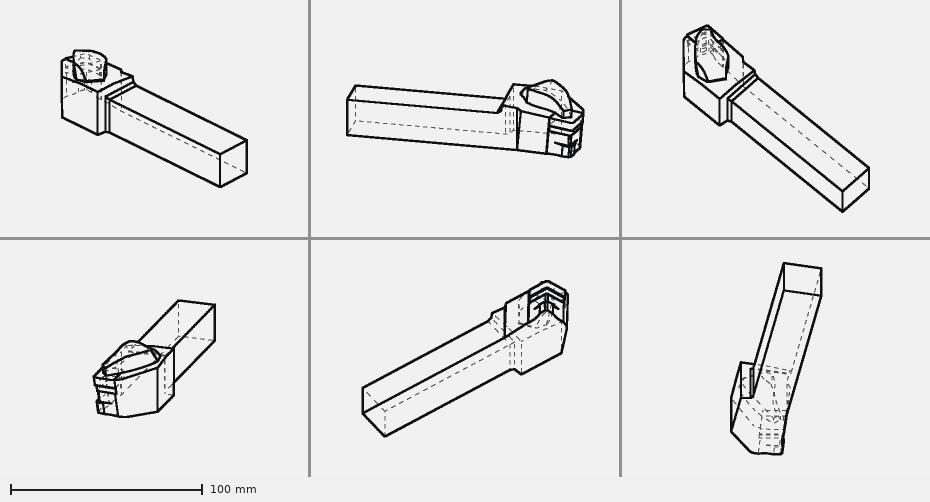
import cadquery as cq
import math

total_length = 125
shank_size = 20
shank_y = 6.0
shank_start_x = 44.8
shank_back_y = shank_y + shank_size

head_height = 26.0
head_back_x = 41.9
blend_x = 42.6
blend_y = 5.0
blend_z = 21.4
shoulder_start_x = 31.2
shoulder_start_y = 28.5
shoulder_end_x = 34.0
front_bevel = 16.1
corner_x = 0.4
corner_radius = 4.6

tilt_angle = 8.2
ridge_x = 29.8

nose_x = 2.9
nose_y = 31.4
insert_side = 12.9
insert_thickness = 4.8
insert_radius = 0.8
back_edge_angle = -5
left_edge_angle = 255
nose_chamfer = 0.9
nose_angle = left_edge_angle - back_edge_angle - 180
shim_thickness = 3.4
shim_inset = 0.6
wall_inset = 0.8
wall_shortening = 1.5
wall_step = 0.8
seat_step_x = 15.8
seat_step_y = 29.9

foot_drop = 14.2
foot_offset = 1.1
foot_flat = 4.5
foot_run_out = 9.9
hollow_depth = 0.06

nose_ruling_angle = 40
rear_ruling_angle = 55.8

tip_left = (5.0, 25.0)
flank_start = (8.5, 17.9)
flank_middle = (11.5, 13.5)
flank_end = (21.8, 3.6)
heel_start = (25.5, 1.9)
heel_middle = (28.0, 2.2)
heel_end = (30.2, 3.5)
rear_corner = (35.5, 11.2)
rear_cut_middle = (33.1, 14.0)
rear_cut_end = (30.5, 18.5)
bulge_middle = (27.4, 20.0)
bulge_end = (20.6, 21.6)
neck_middle = (16.5, 22.8)
neck_end = (13.0, 24.8)
tip_right = (8.8, 27.9)

clamp_top = 32.4
clamp_rise = 0.11
clamp_nose_slope = 0.27
rear_crest = 10.9
rear_curve_end = 19.0
rear_end = 23.0
rear_curve_end_z = 30.0
rear_end_z = 26.2
nose_tip = -15.9
nose_curve_start = -11.8
nose_curve_end = -3.9
nose_tip_z = 25.2
nose_curve_start_z = 27.9
nose_curve_end_z = 31.5
facet_point = (20.0, 5.1, 32.5)
facet_run = 0.4
facet_turn = 5

margin = 75


def tilt(body):
    """Tip a body that stands on the flat top about the 45 degree ridge."""
    return body.rotate((ridge_x, 0, head_height), (ridge_x + 1.2, 1.2, head_height), -tilt_angle)


def along(start, angle, distance):
    """Point at a distance from start in a direction given in degrees."""
    a = math.radians(angle)
    return (start[0] + distance * math.cos(a), start[1] + distance * math.sin(a))


def rhombus(inset):
    """Insert corners, with the two free edges moved inward by an inset."""
    nose_shift = inset / math.sin(math.radians(nose_angle))
    nose = along((nose_x, nose_y), back_edge_angle, nose_shift)
    nose = along(nose, left_edge_angle, nose_shift)
    back_end = along(nose, back_edge_angle, insert_side - nose_shift)
    left_end = along(nose, left_edge_angle, insert_side - nose_shift)
    return nose, back_end, left_end


def hollow_middle(start, end):
    """Middle of a shallow arc that curves in toward the holder between two points."""
    chord = math.dist(start, end)
    angle = math.degrees(math.atan2(end[1] - start[1], end[0] - start[0]))
    return along(along(start, angle, chord / 2), angle - 90, chord * hollow_depth)


def ruled_plane(ruling_angle):
    """Upright plane square to a horizontal direction, with the part's Z as its local y."""
    a = math.radians(ruling_angle)
    across = (math.sin(a), -math.cos(a), 0)
    normal = (-math.cos(a), -math.sin(a), 0)
    return cq.Workplane(cq.Plane((0, 0, 0), across, normal))


def plate(inset, drop, thickness):
    """Rounded rhombic plate on the tilted seat, its top a drop below the head's top."""
    nose, back_end, left_end = rhombus(inset)
    inner = along(rhombus(0)[1], left_edge_angle, insert_side)
    blank = (
        cq.Workplane("XY", origin=(0, 0, head_height - drop))
        .polyline([nose, back_end, inner, left_end])
        .close()
        .extrude(-thickness)
        .edges("|Z")
        .fillet(insert_radius)
    )
    return tilt(blank)


def vertical_head():
    """Plan outline crossed with the side profile that blends into the shank."""
    plan = (
        cq.Workplane("XY")
        .moveTo(-margin, 0)
        .lineTo(head_back_x, 0)
        .lineTo(blend_x, blend_y)
        .lineTo(shank_start_x, shank_y)
        .lineTo(shank_start_x, shank_back_y)
        .lineTo(shoulder_end_x, shank_back_y)
        .lineTo(shoulder_start_x, shoulder_start_y)
        .lineTo(shoulder_start_x, margin)
        .lineTo(-margin, margin)
        .close()
        .extrude(head_height)
    )
    profile = (
        cq.Workplane("XZ")
        .moveTo(-margin, 0)
        .lineTo(shank_start_x, 0)
        .lineTo(shank_start_x, shank_size)
        .lineTo(blend_x, blend_z)
        .lineTo(head_back_x, head_height)
        .lineTo(-margin, head_height)
        .close()
        .extrude(margin, both=True)
    )
    return plan.intersect(profile)


def tilted_block():
    """Block whose left and back walls stand square to the tilted seat."""
    nose, back_end, left_end = rhombus(wall_inset)
    wall_end = along(left_end, left_edge_angle, -wall_shortening)
    back_slope = (shoulder_start_y - seat_step_y) / (shoulder_start_x - seat_step_x)
    bevel_corner_y = front_bevel - corner_x
    round_length = corner_radius * math.tan(math.radians(45 / 2))
    round_start = (corner_x, bevel_corner_y + round_length)
    round_end = along((corner_x, bevel_corner_y), -45, round_length)
    block = (
        cq.Workplane("XY", origin=(0, 0, head_height))
        .moveTo(*along(nose, left_edge_angle, nose_chamfer))
        .lineTo(*along(nose, back_edge_angle, nose_chamfer))
        .lineTo(*back_end)
        .lineTo(seat_step_x, seat_step_y)
        .lineTo(margin, seat_step_y + back_slope * (margin - seat_step_x))
        .lineTo(margin, front_bevel - margin)
        .lineTo(*round_end)
        .tangentArcPoint(round_start, relative=False)
        .lineTo(corner_x, wall_end[1] - wall_step)
        .lineTo(*wall_end)
        .close()
        .extrude(-margin)
    )
    return tilt(block)


def foot():
    """Foot below the nose, running out into the seat walls in hollow curves."""
    nose = rhombus(wall_inset)[0]
    nose_shift = foot_offset / math.sin(math.radians(nose_angle))
    tip = along(along(nose, back_edge_angle, -nose_shift), left_edge_angle, -nose_shift)
    left_flat = along(tip, left_edge_angle, foot_flat)
    back_flat = along(tip, back_edge_angle, foot_flat)
    left_run_out = along(nose, left_edge_angle, foot_run_out)
    back_run_out = along(nose, back_edge_angle, foot_run_out)
    root = along(nose, (back_edge_angle + left_edge_angle) / 2 + 180, foot_flat)
    outline = (
        cq.Workplane("XY", origin=(0, 0, head_height - foot_drop))
        .moveTo(*along(tip, left_edge_angle, nose_chamfer))
        .lineTo(*along(tip, back_edge_angle, nose_chamfer))
        .lineTo(*back_flat)
        .threePointArc(hollow_middle(back_flat, back_run_out), back_run_out)
        .lineTo(*root)
        .lineTo(*left_run_out)
        .threePointArc(hollow_middle(left_run_out, left_flat), left_flat)
        .close()
        .extrude(-margin)
    )
    above_bottom = cq.Workplane("XY").rect(2 * margin, 2 * margin).extrude(margin)
    return tilt(outline).intersect(above_bottom)


def clamp_outline():
    """Clamp footprint, drawn out square to the tilted plane."""
    footprint = (
        cq.Workplane("XY", origin=(0, 0, head_height))
        .moveTo(*tip_left)
        .lineTo(*flank_start)
        .threePointArc(flank_middle, flank_end)
        .lineTo(*heel_start)
        .threePointArc(heel_middle, heel_end)
        .lineTo(*rear_corner)
        .lineTo(*rear_cut_middle)
        .lineTo(*rear_cut_end)
        .threePointArc(bulge_middle, bulge_end)
        .threePointArc(neck_middle, neck_end)
        .lineTo(*tip_right)
        .close()
        .extrude(margin)
    )
    return tilt(footprint)


def clamp_nose():
    """Everything under the ruled surface that climbs from the clamp's tip."""
    return (
        ruled_plane(nose_ruling_angle)
        .moveTo(nose_tip, 0)
        .lineTo(nose_tip, nose_tip_z)
        .lineTo(nose_curve_start, nose_curve_start_z)
        .tangentArcPoint((nose_curve_end, nose_curve_end_z), relative=False)
        .lineTo(margin, nose_curve_end_z + clamp_nose_slope * (margin - nose_curve_end))
        .lineTo(margin, 0)
        .close()
        .extrude(margin, both=True)
    )


def clamp_rear():
    """Everything under the flat upper face, the rear curve and the rear slope."""
    rear_slope = (rear_curve_end_z - rear_end_z) / (rear_end - rear_curve_end)
    return (
        ruled_plane(rear_ruling_angle)
        .moveTo(-margin, 0)
        .lineTo(-margin, clamp_top - clamp_rise * (rear_crest + margin))
        .lineTo(rear_crest, clamp_top)
        .tangentArcPoint((rear_curve_end, rear_curve_end_z), relative=False)
        .lineTo(rear_end + rear_end_z / rear_slope, 0)
        .close()
        .extrude(margin, both=True)
    )


def clamp_facet():
    """Wedge in front of the sloping front facet."""
    x, y, z = facet_point
    wedge = (
        cq.Workplane("YZ")
        .moveTo(y, z)
        .lineTo(y - facet_run * z, 0)
        .lineTo(-margin, 0)
        .lineTo(-margin, z)
        .close()
        .extrude(margin)
    )
    return wedge.rotate(facet_point, (x, y, z + 1.2), facet_turn)


def clamp():
    """Clamp hump that stands on the tilted plane and reaches over the insert."""
    return clamp_outline().intersect(clamp_nose()).intersect(clamp_rear()).cut(clamp_facet())


def make_holder():
    """Shank, head, clamp, shim and foot as one body, with the insert's pocket cut."""
    shank = (
        cq.Workplane("XY")
        .box(total_length - shoulder_end_x, shank_size, shank_size, centered=False)
        .translate((shoulder_end_x, shank_y, 0))
    )
    head = vertical_head().intersect(tilted_block())
    pocket = plate(0, 0, insert_thickness + shim_thickness)
    shim = plate(shim_inset, insert_thickness, shim_thickness)
    return head.cut(pocket).union(shim).union(foot()).union(shank).union(clamp())


insert = plate(0, 0, insert_thickness)
holder = make_holder()
result = cq.Compound.makeCompound([holder.val(), insert.val()])